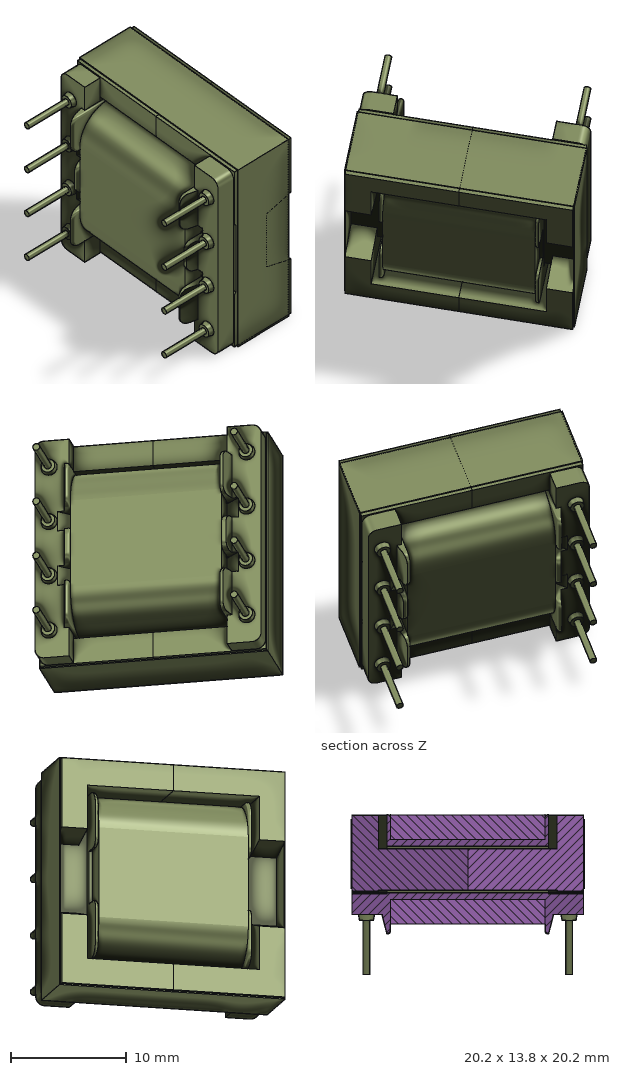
import cadquery as cq


core_side = 20.0
core_back_y = 4.69
core_front_y = -1.98
window_half = 7.7
post_half_y = 1.8
post_half_z = 4.45
back_recess_mouth_z = 3.84
back_recess_floor_z = 3.03
front_recess_floor_z = 3.82
front_recess_mouth_z = front_recess_floor_z + (-post_half_y - core_front_y)

tape_side = 20.2
tape_back_y = 4.32
tape_front_y = -1.64

bore_gap = 0.2
bore_half_y = post_half_y + bore_gap
bore_half_z = post_half_z + bore_gap
tube_wall = 0.57
tube_half_y = bore_half_y + tube_wall
tube_half_z = bore_half_z + tube_wall

winding_half_y = 4.73
winding_half_z = 7.37
winding_radius = 3.4

flange_inner_x = 6.69
flange_outer_x = 6.99
flange_half_z = winding_half_z
flange_edge_radius = 0.25
lobe_radius = 0.8
back_corner_radius = 1.41
back_notch_half_z = 2.35
outer_tab_y = -5.58
middle_tab_y = -4.99
tab_root_x = 7.41
match_tolerance = 0.002

rail_outer = core_side / 2
rail_back_y = -2.08
rail_front_y = -3.9
rail_corner_radius = 0.8
pin_pitch = 5.0
pin_x = 8.75
pin_radius = 0.3
pin_tip_y = -9.1
collar_base_radius = 0.7
collar_tip_radius = 0.6
collar_height = 0.5

slot_center_z = pin_pitch / 2
slot_width = 1.78
slot_low_z = slot_center_z - slot_width / 2
slot_high_z = slot_center_z + slot_width / 2
ramp_run = -rail_front_y - tube_half_y
slot_floor_y = -tube_half_y - (flange_outer_x - flange_inner_x)


def block(x_range, y_range, z_range):
    """Box between two coordinates on each axis."""
    size = [abs(r[1] - r[0]) for r in (x_range, y_range, z_range)]
    center = [(r[0] + r[1]) / 2 for r in (x_range, y_range, z_range)]
    return cq.Workplane("XY").box(*size).translate(tuple(center))


def bar_along_x(half_x, half_y, half_z):
    """Box centered on the winding axis."""
    return block((-half_x, half_x), (-half_y, half_y), (-half_z, half_z))


def recess_along_x(mouth_y, mouth_z, floor_y, floor_z):
    """Trapezoidal channel that runs the whole length of the core."""
    outline = [(mouth_y, -mouth_z), (mouth_y, mouth_z), (floor_y, floor_z), (floor_y, -floor_z)]
    return cq.Workplane("YZ").polyline(outline).close().extrude(core_side / 2, both=True)


def mirrored_x(body):
    return body.mirror("YZ")


def make_core_half():
    y_range = (core_front_y, core_back_y)
    half_side = core_side / 2
    core = block((0, half_side), y_range, (-half_side, half_side))
    core = core.cut(block((0, window_half), y_range, (-window_half, window_half)))
    core = core.cut(recess_along_x(core_back_y, back_recess_mouth_z, post_half_y, back_recess_floor_z))
    core = core.cut(recess_along_x(core_front_y, front_recess_mouth_z, -post_half_y, front_recess_floor_z))
    post = block((0, window_half), (-post_half_y, post_half_y), (-post_half_z, post_half_z))
    return core.union(post)


def make_tape():
    y_range = (tape_front_y, tape_back_y)
    outer = (-tape_side / 2, tape_side / 2)
    inner = (-core_side / 2, core_side / 2)
    return block(outer, y_range, outer).cut(block(inner, y_range, inner))


def make_winding():
    coil = bar_along_x(flange_inner_x, winding_half_y, winding_half_z).edges("|X").fillet(winding_radius)
    return coil.cut(bar_along_x(flange_inner_x, tube_half_y, tube_half_z))


def front_tab(low_z, high_z, tip_y):
    tab = block((flange_inner_x, tab_root_x), (tip_y, 0), (low_z, high_z))
    return tab.faces("<Y").edges("|X").fillet(lobe_radius)


def back_lobe():
    lobe = block((flange_inner_x, tab_root_x), (0, winding_half_y), (back_notch_half_z, flange_half_z))
    lobe = lobe.edges("|X and >Y and <Z").fillet(lobe_radius)
    return lobe.edges("|X and >Y and >Z").fillet(back_corner_radius)


def flange_section():
    """Thin flange that thickens into a tapered tab beyond the rail's front face."""
    outline = [
        (flange_inner_x, winding_half_y),
        (flange_outer_x, winding_half_y),
        (flange_outer_x, rail_front_y),
        (tab_root_x, rail_front_y),
        (flange_outer_x, outer_tab_y),
        (flange_inner_x, outer_tab_y),
    ]
    return cq.Workplane("XY").polyline(outline).close().extrude(flange_half_z, both=True)


def is_slot_floor(edge):
    """True for an edge at the floor of a wire slot or of the back notch."""
    floors = (slot_floor_y, tube_half_y)
    return any(abs(edge.Center().y - floor_y) < match_tolerance for floor_y in floors)


def make_flange():
    plate = block(
        (flange_inner_x, tab_root_x), (slot_floor_y, tube_half_y), (-flange_half_z, flange_half_z)
    )
    plate = plate.union(front_tab(-slot_low_z, slot_low_z, middle_tab_y))
    outer_pieces = front_tab(slot_high_z, flange_half_z, outer_tab_y).union(back_lobe())
    plate = plate.union(outer_pieces).union(outer_pieces.mirror("XY")).clean()
    rim = plate.faces("<X").edges().filter(lambda edge: not is_slot_floor(edge))
    return rim.fillet(flange_edge_radius).intersect(flange_section())


def make_rail():
    rail = block(
        (flange_outer_x, rail_outer), (rail_front_y, rail_back_y), (-rail_outer, rail_outer)
    )
    return rail.edges("|Y and >X").fillet(rail_corner_radius)


def make_pin(z):
    foot = cq.Workplane("XZ", origin=(pin_x, rail_front_y, z))
    collar = foot.circle(collar_base_radius).workplane(offset=collar_height).circle(collar_tip_radius).loft()
    return collar.union(foot.circle(pin_radius).extrude(rail_front_y - pin_tip_y))


def wire_slot(z):
    ramp_top_x = flange_inner_x + ramp_run
    outline = [
        (flange_inner_x, -tube_half_y),
        (ramp_top_x, rail_front_y),
        (ramp_top_x, outer_tab_y),
        (flange_inner_x, outer_tab_y),
    ]
    slot = cq.Workplane("XY").polyline(outline).close().extrude(slot_width / 2, both=True)
    return slot.translate((0, 0, z))


def make_bobbin():
    end = make_flange().union(make_rail())
    for side in (-1, 1):
        end = end.cut(wire_slot(side * slot_center_z))
    for step in (-1.5, -0.5, 0.5, 1.5):
        end = end.union(make_pin(step * pin_pitch))
    tube = bar_along_x(flange_inner_x, tube_half_y, tube_half_z)
    bore = bar_along_x(flange_outer_x, bore_half_y, bore_half_z)
    return tube.union(end).union(mirrored_x(end)).cut(bore)


core_half = make_core_half()
tape = make_tape()
winding = make_winding()
bobbin = make_bobbin()

result = cq.Compound.makeCompound(
    [core_half.val(), mirrored_x(core_half).val(), tape.val(), winding.val(), bobbin.val()]
)